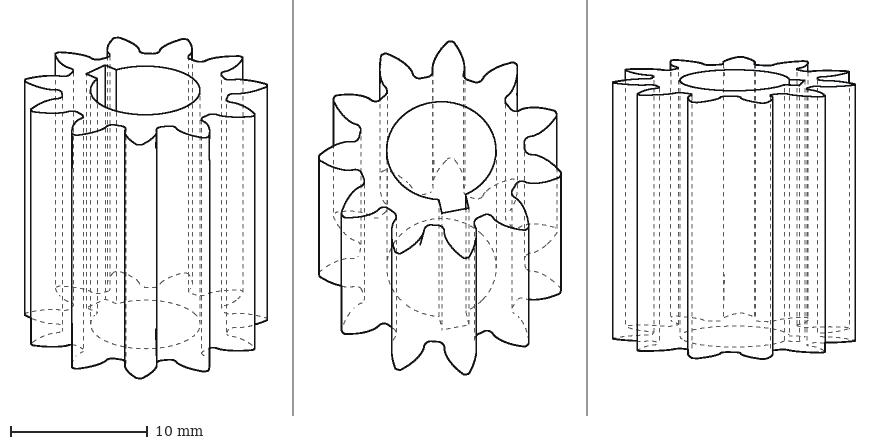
import cadquery as cq
import math

MODULE = 25.4 / 20
TEETH = 11
PRESSURE_ANGLE = math.radians(14.5)
PROFILE_SHIFT = 0.53
FACE_WIDTH = 19.05
TIP_RADIUS = 8.95
ROOT_RADIUS = 6.1
ROOT_FILLET = 0.5
TIP_FILLET = 0.25
FIRST_TOOTH_ANGLE = math.pi

PITCH_RADIUS = MODULE * TEETH / 2
BASE_RADIUS = PITCH_RADIUS * math.cos(PRESSURE_ANGLE)
TOOTH_PITCH_ANGLE = 2 * math.pi / TEETH

BORE_DIAMETER = 8.0
KEYWAY_WIDTH = 2.0
KEYWAY_DEPTH = 5.0

FLANK_POINTS = 7
RADIUS_TOLERANCE = 0.001


def involute(angle):
    return math.tan(angle) - angle


BASE_HALF_ANGLE = (
    math.pi / (2 * TEETH)
    + 2 * PROFILE_SHIFT * math.tan(PRESSURE_ANGLE) / TEETH
    + involute(PRESSURE_ANGLE)
)


def half_angle(radius):
    """Half of the angle a tooth spans at a radius on its involute flank."""
    return BASE_HALF_ANGLE - involute(math.acos(BASE_RADIUS / radius))


def polar(radius, angle):
    return (radius * math.cos(angle), radius * math.sin(angle))


def flank_radii():
    """Radii along a flank, packed towards the base circle where it curves most."""
    height = TIP_RADIUS - BASE_RADIUS
    steps = FLANK_POINTS - 1
    return [BASE_RADIUS + height * (i / steps) ** 2 for i in range(FLANK_POINTS)]


def add_tooth(outline, center):
    """Add one tooth and the root land after it, starting from the tooth's root."""
    radii = flank_radii()
    rising = [polar(r, center - half_angle(r)) for r in radii]
    falling = [polar(r, center + half_angle(r)) for r in reversed(radii)]
    rise_tangents = [polar(1, center - BASE_HALF_ANGLE)] + [None] * (FLANK_POINTS - 1)
    fall_tangents = [None] * (FLANK_POINTS - 1) + [polar(-1, center + BASE_HALF_ANGLE)]
    gap_center = center + TOOTH_PITCH_ANGLE / 2
    next_root_angle = center + TOOTH_PITCH_ANGLE - BASE_HALF_ANGLE
    return (
        outline.lineTo(*rising[0])
        .spline(rising[1:], tangents=rise_tangents, includeCurrent=True)
        .threePointArc(polar(TIP_RADIUS, center), falling[0])
        .spline(falling[1:], tangents=fall_tangents, includeCurrent=True)
        .lineTo(*polar(ROOT_RADIUS, center + BASE_HALF_ANGLE))
        .threePointArc(polar(ROOT_RADIUS, gap_center), polar(ROOT_RADIUS, next_root_angle))
    )


def edge_radius(edge):
    """Distance of an upright edge from the gear axis."""
    center = edge.Center()
    return math.hypot(center.x, center.y)


def on_radius(radius):
    return lambda edge: abs(edge_radius(edge) - radius) < RADIUS_TOLERANCE


def make_gear():
    outline = cq.Workplane("XY").moveTo(*polar(ROOT_RADIUS, FIRST_TOOTH_ANGLE - BASE_HALF_ANGLE))
    for tooth in range(TEETH):
        outline = add_tooth(outline, FIRST_TOOTH_ANGLE + tooth * TOOTH_PITCH_ANGLE)
    blank = outline.close().extrude(FACE_WIDTH)
    blank = blank.edges("|Z").filter(on_radius(ROOT_RADIUS)).fillet(ROOT_FILLET)
    return blank.edges("|Z").filter(on_radius(TIP_RADIUS)).fillet(TIP_FILLET)


def make_bore():
    bore = cq.Workplane("XY").circle(BORE_DIAMETER / 2).extrude(FACE_WIDTH)
    keyway = (
        cq.Workplane("XY")
        .center(-KEYWAY_DEPTH / 2, 0)
        .rect(KEYWAY_DEPTH, KEYWAY_WIDTH)
        .extrude(FACE_WIDTH)
    )
    return bore.union(keyway)


result = make_gear().cut(make_bore())